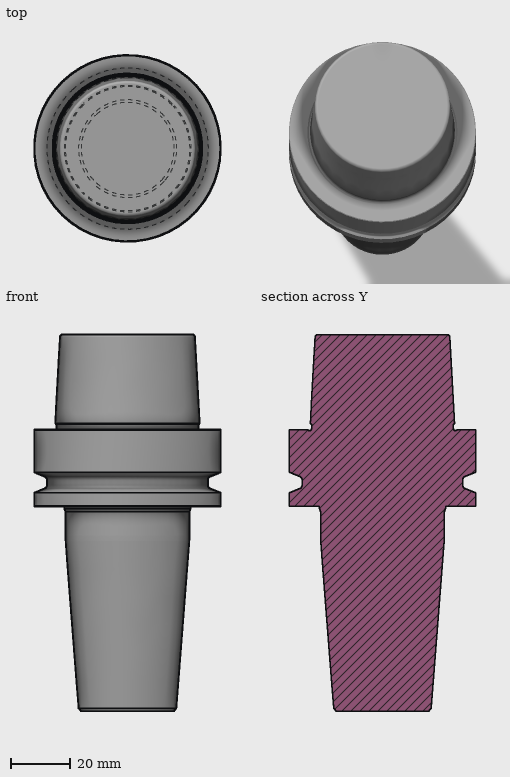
import cadquery as cq
import math

total_height = 126.9
flange_top = 94.9
flange_bottom = 68.9
flange_radius = 31.5
flange_chamfer = 0.3

shank_end_radius = 22.7
shank_base_radius = 24.4
shank_base = 97.0
end_fillet = 1.0

neck_radius = 24.0
neck_chamfer = shank_base_radius - neck_radius
neck_fillet = 0.6
recess_depth = 0.4
recess_outer_radius = 25.3
recess_floor_radius = 24.7

groove_center = 77.0
groove_width = 6.9
groove_floor_radius = 27.2
groove_wall_angle = 22.0
groove_fillet = 0.9

collar_radius = 21.3
collar_height = 0.6
collar_taper_height = 1.0
body_radius = 21.0
cone_top = 58.2
cone_blend_radius = 25.4
nose_radius = 16.5
nose_chamfer_width = 0.9
nose_chamfer_height = 1.1


def ring_edges(solid, radius, height):
    """Select the circular edge with the given radius and height."""
    tolerance = 0.01
    return solid.edges("%CIRCLE").filter(
        lambda edge: abs(edge.radius() - radius) < tolerance
        and abs(edge.Center().z - height) < tolerance
    )


groove_wall_height = (flange_radius - groove_floor_radius) * math.tan(math.radians(groove_wall_angle))
groove_top = groove_center + groove_width / 2
groove_bottom = groove_center - groove_width / 2
floor_top = groove_top - groove_wall_height
floor_bottom = groove_bottom + groove_wall_height
recess_floor = flange_top - recess_depth
collar_bottom = flange_bottom - collar_height

cone_angle = math.atan2(body_radius - nose_radius, cone_top - nose_chamfer_height)
blend_length = cone_blend_radius * math.tan(cone_angle / 2)
blend_start = (
    body_radius - blend_length * math.sin(cone_angle),
    cone_top - blend_length * math.cos(cone_angle),
)
blend_end = (body_radius, cone_top + blend_length)

nose_profile = [
    (0, 0),
    (nose_radius - nose_chamfer_width, 0),
    (nose_radius, nose_chamfer_height),
    blend_start,
]
upper_profile = [
    blend_end,
    (body_radius, collar_bottom - collar_taper_height),
    (collar_radius, collar_bottom),
    (collar_radius, flange_bottom),
    (flange_radius - flange_chamfer, flange_bottom),
    (flange_radius, flange_bottom + flange_chamfer),
    (flange_radius, groove_bottom),
    (groove_floor_radius, floor_bottom),
    (groove_floor_radius, floor_top),
    (flange_radius, groove_top),
    (flange_radius, flange_top - flange_chamfer),
    (flange_radius - flange_chamfer, flange_top),
    (recess_outer_radius, flange_top),
    (recess_floor_radius, recess_floor),
    (neck_radius, recess_floor),
    (neck_radius, shank_base - neck_chamfer),
    (shank_base_radius, shank_base),
    (shank_end_radius, total_height),
    (0, total_height),
]
body = (
    cq.Workplane("XZ")
    .polyline(nose_profile)
    .tangentArcPoint(blend_end, relative=False)
    .polyline(upper_profile)
    .close()
    .revolve(360, (0, 0, 0), (0, 1, 0))
)

body = ring_edges(body, shank_end_radius, total_height).fillet(end_fillet)
body = ring_edges(body, neck_radius, recess_floor).fillet(neck_fillet)
for floor_edge in (floor_bottom, floor_top):
    body = ring_edges(body, groove_floor_radius, floor_edge).fillet(groove_fillet)

result = body